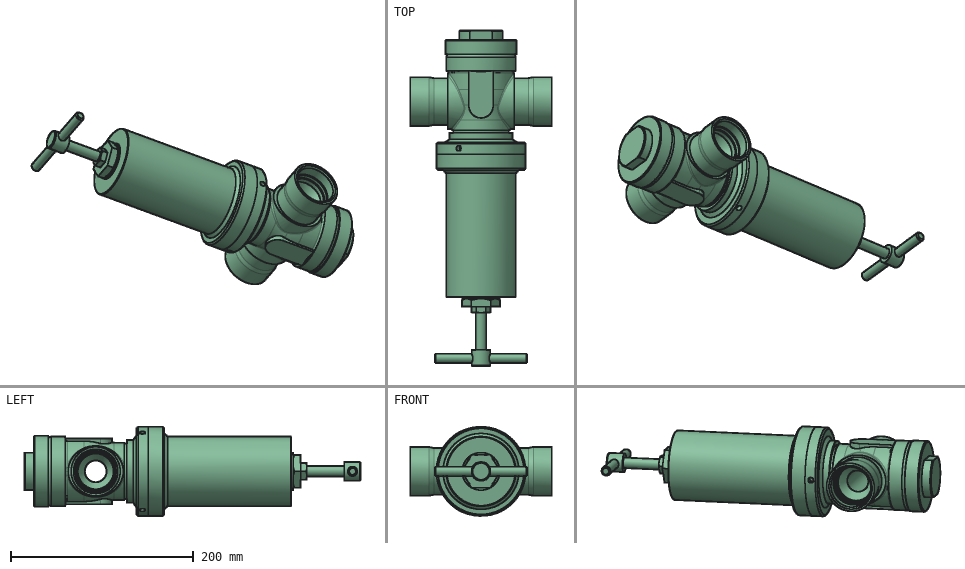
import cadquery as cq
import math


cap_face_y = 52.0
collar_top_y = 48.5
collar_bottom_y = 33.5
taper_top_y = 13.2
taper_bottom_y = -20.0
neck_groove_top_y = -31.3
shoulder_top_y = -34.2
shoulder_bottom_y = -41.2
flange_top_y = -44.5
ring_top_y = -57.8
ring_bottom_y = -75.0

collar_radius = 38.3
collar_rim_radius = 37.0
chest_radius = 35.7
chest_fillet_radius = 2.2
waist_radius = 31.5
groove_radius = 30.5
shoulder_radius = 34.5
shoulder_foot_radius = 39.5
flange_radius = 49.0
flange_chamfer = 2.0

port_half_span = 77.45
boss_half_span = 36.5
boss_half_width = 30.0
boss_half_height = 28.0
boss_fillet_radius = 2.0
port_radius = 27.0
port_neck_radius = 25.8
port_land_x = 57.0
port_neck_x = 52.0
port_bore_radius = 22.5
port_bore_depth = 14.0
port_chamfer = 2.0
relief_radius = 21.0
relief_depth = 18.5
seat_radius = 19.5
seat_depth = 24.3
seat_cone_length = 11.0
passage_radius = 11.8

pad_height = 36.0
pad_half_width = 13.2
pad_end_y = -18.0

flange_hole_count = 3
flange_hole_radius = 3.0
flange_hole_depth = 7.5
flange_hole_y = (flange_top_y + ring_top_y) / 2

cap_top_y = 67.7
cap_radius = 39.0
cap_chamfer = 1.0
cap_boss_top_y = 78.0
cap_boss_radius = 24.0
cap_boss_chamfer = 1.0
cap_flat_half_height = 20.5

ring_hub_radius = 41.5
ring_hub_length = 3.5

bonnet_radius = 38.3
bonnet_bottom_y = -214.0
bonnet_chamfer = 0.7

hex_cone_angle = math.radians(30)
packing_washer_radius = 20.5
packing_washer_length = 2.0
packing_nut_bottom_y = -224.5
packing_nut_corner_radius = 21.0
packing_nut_chamfer = 1.5
lock_nut_bottom_y = -231.0
lock_nut_corner_radius = 10.5
lock_nut_chamfer = 0.7

overall_length = 368
spindle_radius = 6.0
knob_radius = 10.3
knob_top_y = -272.0
knob_bottom_y = cap_boss_top_y - overall_length
knob_chamfer = 1.0
bar_radius = 5.0
bar_half_length = 50.8
bar_y = -281.0
bar_chamfer = 1.5


def rod_y(radius, start_y, end_y):
    """Cylinder about the Y axis from start_y down to end_y."""
    return cq.Workplane("XZ", origin=(0, start_y, 0)).circle(radius).extrude(start_y - end_y)


def hex_prism_y(corner_radius, start_y, end_y):
    """Hexagonal prism about the Y axis with two corners on the X direction."""
    return (
        cq.Workplane("XZ", origin=(0, start_y, 0))
        .polygon(6, 2 * corner_radius)
        .extrude(start_y - end_y)
    )


def turned_hex_y(corner_radius, plain_y, turned_y, chamfer):
    """Hexagonal prism with its corners turned off by a cone at turned_y."""
    inward = math.copysign(chamfer, plain_y - turned_y)
    envelope = cq.Workplane("XY").polyline([
        (0, plain_y),
        (corner_radius, plain_y),
        (corner_radius, turned_y + inward),
        (corner_radius - chamfer / math.tan(hex_cone_angle), turned_y),
        (0, turned_y),
    ])
    envelope = envelope.close().revolve(360, (0, 0, 0), (0, 1, 0))
    top_y = max(plain_y, turned_y)
    bottom_y = min(plain_y, turned_y)
    return hex_prism_y(corner_radius, top_y, bottom_y).intersect(envelope)


def body_barrel():
    """Turned main shape of the valve body."""
    taper_middle = ((chest_radius + waist_radius) / 2, (taper_top_y + taper_bottom_y) / 2)
    chest_corner_radius = chest_radius + chest_fillet_radius
    profile = (
        cq.Workplane("XY")
        .moveTo(0, cap_face_y)
        .lineTo(collar_rim_radius, cap_face_y)
        .lineTo(collar_radius, collar_top_y)
        .lineTo(collar_radius, collar_bottom_y)
        .lineTo(chest_corner_radius, collar_bottom_y)
        .radiusArc((chest_radius, collar_bottom_y - chest_fillet_radius), -chest_fillet_radius)
        .lineTo(chest_radius, taper_top_y)
        .tangentArcPoint(taper_middle, relative=False)
        .tangentArcPoint((waist_radius, taper_bottom_y), relative=False)
        .lineTo(waist_radius, neck_groove_top_y)
        .lineTo(groove_radius, neck_groove_top_y)
        .lineTo(groove_radius, shoulder_top_y)
        .lineTo(shoulder_radius, shoulder_top_y)
        .lineTo(shoulder_radius, shoulder_bottom_y)
        .lineTo(shoulder_foot_radius, flange_top_y)
        .lineTo(flange_radius - flange_chamfer, flange_top_y)
        .lineTo(flange_radius, flange_top_y - flange_chamfer)
        .lineTo(flange_radius, ring_top_y)
        .lineTo(0, ring_top_y)
        .close()
    )
    return profile.revolve(360, (0, 0, 0), (0, 1, 0))


def port_stubs():
    """Both pipe stubs, turned about X with a larger land at each end."""
    profile = cq.Workplane("XY").polyline([
        (-port_half_span, 0),
        (-port_half_span, port_radius),
        (-port_land_x, port_radius),
        (-port_neck_x, port_neck_radius),
        (port_neck_x, port_neck_radius),
        (port_land_x, port_radius),
        (port_half_span, port_radius),
        (port_half_span, 0),
    ])
    return profile.close().revolve(360, (0, 0, 0), (1, 0, 0))


def port_bores():
    """Chamfered stepped bore and cone at both ports, joined by the through passage."""
    bore_end_x = port_half_span - port_bore_depth
    relief_end_x = port_half_span - relief_depth
    seat_x = port_half_span - seat_depth
    half = [
        (seat_x - seat_cone_length, passage_radius),
        (seat_x, seat_radius),
        (relief_end_x, seat_radius),
        (relief_end_x, relief_radius),
        (bore_end_x, relief_radius),
        (bore_end_x, port_bore_radius),
        (port_half_span - port_chamfer, port_bore_radius),
        (port_half_span, port_bore_radius + port_chamfer),
        (port_half_span, 0),
    ]
    mirrored = [(-x, radius) for x, radius in reversed(half)]
    return cq.Workplane("XY").polyline(mirrored + half).close().revolve(360, (0, 0, 0), (1, 0, 0))


def pad(side):
    """Round-ended flat pad; side is 1 for the top and -1 for the bottom."""
    arc_y = pad_end_y + pad_half_width
    return (
        cq.Workplane("XY")
        .moveTo(-pad_half_width, collar_bottom_y)
        .lineTo(-pad_half_width, arc_y)
        .threePointArc((0, pad_end_y), (pad_half_width, arc_y))
        .lineTo(pad_half_width, collar_bottom_y)
        .close()
        .extrude(side * pad_height)
    )


def flange_hole(index):
    """Cutter for one radial hole in the rim of the body flange."""
    return (
        cq.Workplane("YZ", origin=(flange_radius - flange_hole_depth, flange_hole_y, 0))
        .circle(flange_hole_radius)
        .extrude(2 * flange_hole_depth)
        .rotate((0, 0, 0), (0, 1, 0), index * 360 / flange_hole_count)
    )


def is_freeform(edge):
    """True for an edge where two curved faces meet along a freeform line."""
    return edge.geomType() == "BSPLINE"


def make_valve_body():
    """Barrel with oval side bosses, pipe stubs, pads, port bores and flange holes."""
    boss = (
        cq.Workplane("YZ")
        .ellipse(boss_half_width, boss_half_height)
        .extrude(boss_half_span, both=True)
    )
    body = body_barrel().union(boss)
    saddle_edges = body.edges().filter(is_freeform)
    body = body.newObject(saddle_edges.vals()).fillet(boss_fillet_radius)
    body = body.union(port_stubs())
    for side in (1, -1):
        body = body.union(pad(side))
    body = body.cut(port_bores())
    for index in range(flange_hole_count):
        body = body.cut(flange_hole(index))
    return body


def make_end_cap():
    """Round cap with a boss that has two wrench flats."""
    disc = rod_y(cap_radius, cap_top_y, cap_face_y).faces(">Y").edges().chamfer(cap_chamfer)
    boss = rod_y(cap_boss_radius, cap_boss_top_y, cap_top_y)
    boss = boss.faces(">Y").edges().chamfer(cap_boss_chamfer)
    slab = cq.Workplane("XY").box(2 * cap_radius, 2 * cap_boss_top_y, 2 * cap_flat_half_height)
    return disc.union(boss.intersect(slab))


def make_clamp_ring():
    """Ring around the bonnet with a conical hub at its lower end."""
    profile = cq.Workplane("XY").polyline([
        (bonnet_radius, ring_top_y),
        (flange_radius, ring_top_y),
        (flange_radius, ring_bottom_y + flange_chamfer),
        (flange_radius - flange_chamfer, ring_bottom_y),
        (ring_hub_radius, ring_bottom_y),
        (bonnet_radius, ring_bottom_y - ring_hub_length),
    ])
    return profile.close().revolve(360, (0, 0, 0), (0, 1, 0))


def make_bonnet():
    """Plain round spring housing."""
    return rod_y(bonnet_radius, ring_top_y, bonnet_bottom_y).faces("<Y").edges().chamfer(bonnet_chamfer)


def make_packing_nut():
    """Hexagonal nut with a round washer face against the bonnet."""
    hex_top_y = bonnet_bottom_y - packing_washer_length
    washer = rod_y(packing_washer_radius, bonnet_bottom_y, hex_top_y)
    hexagon = turned_hex_y(
        packing_nut_corner_radius, packing_nut_bottom_y, hex_top_y, packing_nut_chamfer
    )
    bore = rod_y(spindle_radius, bonnet_bottom_y, packing_nut_bottom_y)
    return washer.union(hexagon).cut(bore)


def make_lock_nut():
    """Small hexagonal nut on the spindle."""
    hexagon = turned_hex_y(
        lock_nut_corner_radius, packing_nut_bottom_y, lock_nut_bottom_y, lock_nut_chamfer
    )
    return hexagon.cut(rod_y(spindle_radius, packing_nut_bottom_y, lock_nut_bottom_y))


def bar_rod():
    """Plain round bar along X, also the cutter for its hole in the knob."""
    return cq.Workplane("YZ", origin=(0, bar_y, 0)).circle(bar_radius).extrude(bar_half_length, both=True)


def make_spindle():
    """Stem with a knob that is cross-drilled for the T-bar."""
    knob = rod_y(knob_radius, knob_top_y, knob_bottom_y).faces("<Y").edges().chamfer(knob_chamfer)
    return rod_y(spindle_radius, bonnet_bottom_y, knob_top_y).union(knob).cut(bar_rod())


def make_t_bar():
    """Round handle bar with chamfered ends."""
    return bar_rod().faces("<X or >X").edges().chamfer(bar_chamfer)


valve_body = make_valve_body()
end_cap = make_end_cap()
clamp_ring = make_clamp_ring()
bonnet = make_bonnet()
packing_nut = make_packing_nut()
lock_nut = make_lock_nut()
spindle = make_spindle()
t_bar = make_t_bar()

result = cq.Compound.makeCompound([
    valve_body.val(),
    end_cap.val(),
    clamp_ring.val(),
    bonnet.val(),
    packing_nut.val(),
    lock_nut.val(),
    spindle.val(),
    t_bar.val(),
])